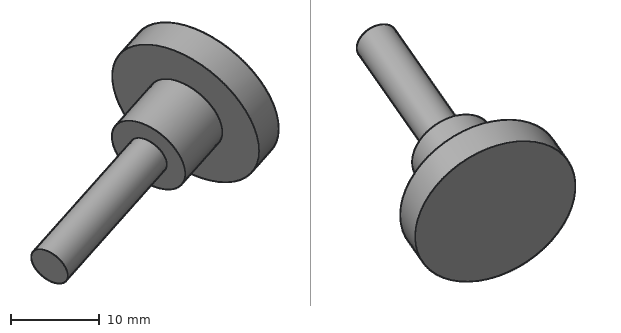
import cadquery as cq

total_length = 31.5
head_diameter = 20.0
head_thickness = head_diameter / 5
collar_diameter = head_diameter / 2
shank_diameter = head_diameter / 4
shank_length = 20.0
collar_length = total_length - head_thickness - shank_length


def add_cylinder(body, diameter, length):
    """Stack a coaxial cylinder on the -Y end face of the body."""
    return body.faces("<Y").workplane().circle(diameter / 2).extrude(length)


head = cq.Workplane("XZ").circle(head_diameter / 2).extrude(head_thickness)

head_and_collar = add_cylinder(head, collar_diameter, collar_length)
result = add_cylinder(head_and_collar, shank_diameter, shank_length)